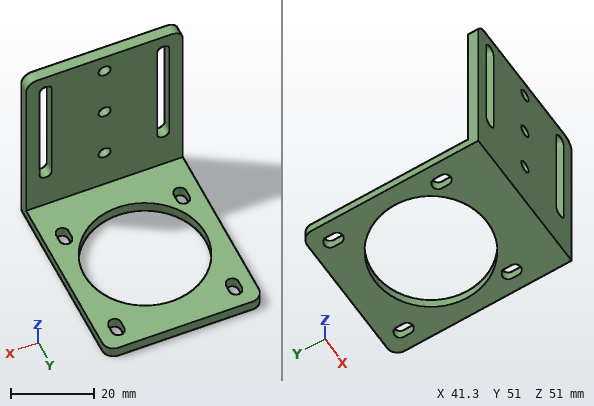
import cadquery as cq

width = 41.3
leg_length = 51.0
thickness = 3.0
corner_radius = 3.0

hole_diameter = 3.2
hole_pitch = 15.5

bore_diameter = 32.0
bore_center = 27.0
short_slot_travel = 2.0
short_slot_middle = 29.4

upright_hole_middle = 30.3
long_slot_travel = 2 * hole_pitch


def rounded_plate():
    """Flat plate starting at y = 0, with its two far corners rounded."""
    plate = cq.Workplane("XY").box(width, leg_length, thickness, centered=(True, False, False))
    return plate.edges("|Z and >Y").fillet(corner_radius)


def slot_cutters(centers, travel):
    """Slots running along Y, as tall as the plate thickness."""
    return (
        cq.Workplane("XY")
        .pushPoints(centers)
        .slot2D(travel + hole_diameter, hole_diameter, angle=90)
        .extrude(thickness)
    )


def round_cutters(centers, diameter):
    """Round holes, as tall as the plate thickness."""
    return cq.Workplane("XY").pushPoints(centers).circle(diameter / 2).extrude(thickness)


def base_plate():
    slot_centers = [
        (x, short_slot_middle + y)
        for x in (-hole_pitch, hole_pitch)
        for y in (-hole_pitch, hole_pitch)
    ]
    plate = rounded_plate().cut(round_cutters([(0, bore_center)], bore_diameter))
    return plate.cut(slot_cutters(slot_centers, short_slot_travel))


def upright_plate():
    slot_centers = [(x, upright_hole_middle) for x in (-hole_pitch, hole_pitch)]
    hole_centers = [(0, upright_hole_middle + step * hole_pitch) for step in (-1, 0, 1)]
    plate = rounded_plate().cut(round_cutters(hole_centers, hole_diameter))
    plate = plate.cut(slot_cutters(slot_centers, long_slot_travel))
    return plate.rotate((0, 0, 0), (1, 0, 0), 90).translate((0, thickness, 0))


result = base_plate().union(upright_plate())